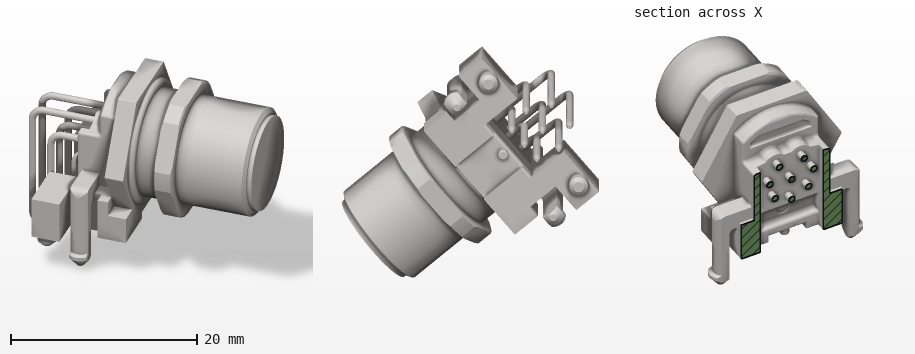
import cadquery as cq
import math


SELECT_MARGIN = 0.03

FLANGE_FLATS = 15.0
FLANGE_THICKNESS = 2.1
FLANGE_EDGE_FILLET = 0.13
DISC_RADIUS = 6.97
DISC_THICKNESS = 0.53
DISC_FILLET = 0.5
BARREL_DIAMETER = 12.0
BARREL_LENGTH = 12.9
BARREL_CHAMFER_DIAMETER = 10.92
BARREL_CHAMFER_LENGTH = 0.32
NOSE_DIAMETER = 10.5
NOSE_LENGTH = 0.53

NUT_FLATS = 14.0
NUT_CORNER_DIAMETER = 15.0
NUT_THICKNESS = 2.0
NUT_START = 3.05
NUT_BEVEL_LENGTH = 0.13
NUT_BEVEL_DEPTH = 0.27

FLANGE_REAR = -FLANGE_THICKNESS
CAP_REAR = -4.05
PIN_WALL = -5.55
SHOULDER_REAR = -6.62
HOUSING_HALF_WIDTH = 4.73
HOUSING_FILLET = 0.32
RECESS_HALF_WIDTH = 3.87
SHOULDER_SIDE_Z = 2.48
SHOULDER_SLOPE_HALF_WIDTH = 2.75
SHOULDER_SLOPE_Z = 2.78
HUMP_TOP = 3.37
HUMP_GAP_HALF_WIDTH = 0.48
HUMP_GAP_Z = 2.96
CREST_FILLET = 0.5
LABEL_HALF_WIDTH = 3.82
LABEL_TOP_HALF_WIDTH = 2.72
LABEL_BOTTOM = 4.09
LABEL_SIDE_Z = 4.85
LABEL_TOP = 5.5
LABEL_DEPTH = 0.35
LABEL_FILLET = 0.32

BASE_TOP = -3.77
BASE_BOTTOM = -8.52
BASE_REAR = -10.07
BASE_FRONT = -0.05
BLOCK_FRONT = -6.86
BLOCK_HALF_WIDTH = 9.75
NECK_HALF_WIDTH = 6.28
FOOT_REAR = -3.29
FOOT_HALF_WIDTH = 7.59
FOOT_STEP_Z = -5.48
ARCH_TOP = -7.65
ARCH_HALF_WIDTH = 2.4
CAVITY_TOP = -3.93
CAVITY_BOTTOM = -6.5
CAVITY_DEPTH = 1.07
CAVITY_FILLET = 0.25
RAIL_FILLET = 0.32
GATE_Z = -5.13
GATE_DIAMETER = 1.8
GATE_NUB_DIAMETER = 1.0
GATE_DEPTH = 0.21
STUD_DIAMETER = 1.07
STUD_X = -4.8
STUD_FILLET = 0.15

LEG_WIDTH = 2.0
LEG_HALF_WIDTH = LEG_WIDTH / 2
LEG_TOP_FILLET = LEG_HALF_WIDTH
LEG_X = -5.07
LEG_TOP = -2.2
LEG_OUTER_Y = 8.92
LEG_SIDE_Y = 8.47
LEG_INNER_Y = 7.5
LEG_SLOT_TOP = -4.27
BARB_RADIUS = 1.35
BARB_Y = 8.05
BARB_NECK_Z = -10.18
BARB_TOP = -10.36
BARB_SHOULDER = -10.8
BARB_TIP_RADIUS = 0.37
LEG_BOTTOM = -12.0
PEG_DIAMETER = 2.0
PEG_X = -9.08
PEG_Y = 7.5
PEG_BOTTOM = -10.5
PEG_CHAMFER = 0.43

PIN_RADIUS = 0.4
PIN_TIP_RADIUS = 0.2
PIN_TIP_WAIST_RADIUS = 0.335
PIN_TIP_LENGTH = 1.01
PIN_BEND_RADIUS = 1.4
PIN_PITCH = 2.55
PIN_COLUMN_REAR = -12.87
PIN_END = -11.62
CENTER_PIN_END = -12.0
TOP_PIN_Y = 1.52
TOP_PIN_Z = 2.3
MIDDLE_PIN_Y = 2.72
MIDDLE_PIN_Z = 0.37
LOW_PIN_Y = 2.08
LOW_PIN_Z = -1.82
BOTTOM_PIN_Z = -2.75
PINS = [
    (0, -TOP_PIN_Y, TOP_PIN_Z, PIN_END),
    (0, TOP_PIN_Y, TOP_PIN_Z, PIN_END),
    (1, -MIDDLE_PIN_Y, MIDDLE_PIN_Z, PIN_END),
    (1, MIDDLE_PIN_Y, MIDDLE_PIN_Z, PIN_END),
    (1, 0, 0, CENTER_PIN_END),
    (2, -LOW_PIN_Y, LOW_PIN_Z, PIN_END),
    (2, LOW_PIN_Y, LOW_PIN_Z, PIN_END),
    (2, 0, BOTTOM_PIN_Z, PIN_END),
]


def box(x0, x1, y0, y1, z0, z1):
    """Box between two opposite corners."""
    return cq.Workplane("XY").box(x1 - x0, y1 - y0, z1 - z0, centered=False).translate((x0, y0, z0))


def disc(x0, length, diameter):
    """Cylinder along the X axis."""
    return cq.Workplane("YZ", origin=(x0, 0, 0)).circle(diameter / 2).extrude(length)


def hexagon(x0, length, flats):
    """Hexagonal prism along X, with corners on the Y axis."""
    return cq.Workplane("YZ", origin=(x0, 0, 0)).polygon(6, flats / math.cos(math.pi / 6)).extrude(length)


def make_barrel():
    """Hexagonal flange, sealing disc, barrel and nose."""
    flange = hexagon(FLANGE_REAR, FLANGE_THICKNESS, FLANGE_FLATS).edges("|X").fillet(FLANGE_EDGE_FILLET)
    sealing_disc = disc(0, DISC_THICKNESS, 2 * DISC_RADIUS).faces(">X").edges().fillet(DISC_FILLET)
    chamfer_depth = (BARREL_DIAMETER - BARREL_CHAMFER_DIAMETER) / 2
    barrel = disc(0, BARREL_LENGTH, BARREL_DIAMETER)
    barrel = barrel.faces(">X").chamfer(BARREL_CHAMFER_LENGTH, chamfer_depth)
    nose = disc(BARREL_LENGTH, NOSE_LENGTH, NOSE_DIAMETER)
    return flange.union(sealing_disc).union(barrel).union(nose)


def make_nut():
    """Hexagonal nut with turned, beveled corners, on the barrel."""
    corner_radius = NUT_CORNER_DIAMETER / 2
    envelope = (
        cq.Workplane("YZ", origin=(NUT_START, 0, 0))
        .circle(corner_radius)
        .extrude(NUT_THICKNESS)
        .faces("<X or >X")
        .chamfer(NUT_BEVEL_LENGTH, NUT_BEVEL_DEPTH)
    )
    bore = disc(NUT_START, NUT_THICKNESS, BARREL_DIAMETER)
    return hexagon(NUT_START, NUT_THICKNESS, NUT_FLATS).intersect(envelope).cut(bore)


def edges_in(x0, x1, y0, y1, z0, z1):
    """Selector for the edges whose centers lie in a box, with a small margin around it."""
    low = (x0 - SELECT_MARGIN, y0 - SELECT_MARGIN, z0 - SELECT_MARGIN)
    high = (x1 + SELECT_MARGIN, y1 + SELECT_MARGIN, z1 + SELECT_MARGIN)
    return cq.selectors.BoxSelector(low, high)


def make_housing():
    """Rear housing: round-topped cap, then a stepped shoulder over the pin wall."""
    cap_side_z = math.sqrt(DISC_RADIUS**2 - HOUSING_HALF_WIDTH**2)
    cap = (
        cq.Workplane("YZ", origin=(CAP_REAR, 0, 0))
        .moveTo(-HOUSING_HALF_WIDTH, BASE_TOP)
        .lineTo(HOUSING_HALF_WIDTH, BASE_TOP)
        .lineTo(HOUSING_HALF_WIDTH, cap_side_z)
        .threePointArc((0, DISC_RADIUS), (-HOUSING_HALF_WIDTH, cap_side_z))
        .close()
        .extrude(FLANGE_REAR - CAP_REAR)
    )
    shoulder = (
        cq.Workplane("YZ", origin=(SHOULDER_REAR, 0, 0))
        .moveTo(-HOUSING_HALF_WIDTH, BASE_TOP)
        .lineTo(HOUSING_HALF_WIDTH, BASE_TOP)
        .lineTo(HOUSING_HALF_WIDTH, SHOULDER_SIDE_Z)
        .lineTo(SHOULDER_SLOPE_HALF_WIDTH, SHOULDER_SLOPE_Z)
        .threePointArc((TOP_PIN_Y, HUMP_TOP), (HUMP_GAP_HALF_WIDTH, HUMP_GAP_Z))
        .lineTo(-HUMP_GAP_HALF_WIDTH, HUMP_GAP_Z)
        .threePointArc((-TOP_PIN_Y, HUMP_TOP), (-SHOULDER_SLOPE_HALF_WIDTH, SHOULDER_SLOPE_Z))
        .lineTo(-HOUSING_HALF_WIDTH, SHOULDER_SIDE_Z)
        .close()
        .extrude(FLANGE_REAR - SHOULDER_REAR)
    )
    housing = cap.union(shoulder)
    width = HOUSING_HALF_WIDTH
    seam = edges_in(CAP_REAR, CAP_REAR, -width, width, SHOULDER_SIDE_Z, HUMP_TOP)
    cap_rim = edges_in(CAP_REAR, CAP_REAR, -width, width, cap_side_z, DISC_RADIUS)
    shoulder_rim = edges_in(SHOULDER_REAR, SHOULDER_REAR, -width, width, SHOULDER_SIDE_Z, HUMP_TOP)
    sides = [
        edges_in(SHOULDER_REAR, FLANGE_REAR - 0.27, y, y, BASE_TOP + 0.27, DISC_RADIUS) for y in (-width, width)
    ]
    outline = cap_rim + shoulder_rim + sides[0] + sides[1]
    return housing.edges(seam).fillet(HOUSING_FILLET).edges(outline).fillet(HOUSING_FILLET)


def make_crest_rounding():
    """Cutter for the larger, straight rounding across the top of the cap."""
    center_x = CAP_REAR + CREST_FILLET
    center_z = DISC_RADIUS - CREST_FILLET
    width = HOUSING_HALF_WIDTH
    corner = box(CAP_REAR, center_x, -width, width, center_z, DISC_RADIUS)
    round_bar = (
        cq.Workplane("XZ", origin=(center_x, width, center_z)).circle(CREST_FILLET).extrude(2 * width)
    )
    return corner.cut(round_bar)


def make_label_recess():
    """Cutter for the shallow recess in the rear face of the cap."""
    return (
        cq.Workplane("YZ", origin=(CAP_REAR, 0, 0))
        .polyline([
            (-LABEL_HALF_WIDTH, LABEL_BOTTOM),
            (LABEL_HALF_WIDTH, LABEL_BOTTOM),
            (LABEL_HALF_WIDTH, LABEL_SIDE_Z),
            (LABEL_TOP_HALF_WIDTH, LABEL_TOP),
            (-LABEL_TOP_HALF_WIDTH, LABEL_TOP),
            (-LABEL_HALF_WIDTH, LABEL_SIDE_Z),
        ])
        .close()
        .extrude(LABEL_DEPTH)
        .faces(">X").edges().fillet(LABEL_FILLET)
    )


def make_base():
    """Base with two rear blocks, a neck and a front foot under the flange."""
    base = box(BASE_REAR, BLOCK_FRONT, -BLOCK_HALF_WIDTH, BLOCK_HALF_WIDTH, BASE_BOTTOM, BASE_TOP)
    neck = box(BLOCK_FRONT, FOOT_REAR, -NECK_HALF_WIDTH, NECK_HALF_WIDTH, BASE_BOTTOM, BASE_TOP)
    foot = box(FOOT_REAR, BASE_FRONT, -FOOT_HALF_WIDTH, FOOT_HALF_WIDTH, BASE_BOTTOM, BASE_TOP)
    step = box(FLANGE_REAR, BASE_FRONT, -FOOT_HALF_WIDTH, FOOT_HALF_WIDTH, FOOT_STEP_Z, BASE_TOP)
    return base.union(neck).union(foot).cut(step)


def make_pin_bay():
    """Cutter for the open bay behind the pin wall and the cavity under that wall."""
    bay = box(BASE_REAR, PIN_WALL, -RECESS_HALF_WIDTH, RECESS_HALF_WIDTH, BASE_BOTTOM, HUMP_TOP + 0.27)
    cavity = box(PIN_WALL, PIN_WALL + CAVITY_DEPTH, -RECESS_HALF_WIDTH, RECESS_HALF_WIDTH,
                 CAVITY_BOTTOM, CAVITY_TOP)
    cavity = cavity.faces(">X").edges("|Y").fillet(CAVITY_FILLET)
    return bay.union(cavity)


def round_rail(part):
    """Round the edges of the rail that crosses the bay below the cavity."""
    half = RECESS_HALF_WIDTH
    crosswise = cq.selectors.ParallelDirSelector(cq.Vector(0, 1, 0))
    rail_edges = edges_in(PIN_WALL, PIN_WALL, -half, half, BASE_BOTTOM, CAVITY_BOTTOM) & crosswise
    return part.edges(rail_edges).fillet(RAIL_FILLET)


def make_gate():
    """Cutter for the ring-shaped gate mark on the cavity wall."""
    wall = PIN_WALL + CAVITY_DEPTH
    return (
        cq.Workplane("YZ", origin=(wall, 0, GATE_Z))
        .circle(GATE_DIAMETER / 2)
        .circle(GATE_NUB_DIAMETER / 2)
        .extrude(GATE_DEPTH)
    )


def make_stud():
    """Short round stud under the middle of the rail."""
    stud = cq.Workplane("XY", origin=(STUD_X, 0, BASE_BOTTOM)).circle(STUD_DIAMETER / 2)
    return stud.extrude(ARCH_TOP - BASE_BOTTOM + 0.27).faces("<Z").edges().fillet(STUD_FILLET)


def make_leg():
    """Snap leg on the -Y side: a flat-backed post hanging from an arm, with a barbed foot."""
    post = (
        cq.Workplane("XY", origin=(LEG_X, 0, BARB_SHOULDER))
        .moveTo(-LEG_HALF_WIDTH, -HOUSING_HALF_WIDTH)
        .lineTo(-LEG_HALF_WIDTH, -LEG_SIDE_Y)
        .threePointArc((0, -LEG_OUTER_Y), (LEG_HALF_WIDTH, -LEG_SIDE_Y))
        .lineTo(LEG_HALF_WIDTH, -HOUSING_HALF_WIDTH)
        .close()
        .extrude(LEG_TOP - BARB_SHOULDER)
    )
    rounded_top = (
        box(LEG_X - LEG_HALF_WIDTH, LEG_X + LEG_HALF_WIDTH, -LEG_OUTER_Y, -HOUSING_HALF_WIDTH,
            BARB_SHOULDER, LEG_TOP)
        .edges("<Y and >Z").fillet(LEG_TOP_FILLET)
    )
    slot_radius = (LEG_INNER_Y - NECK_HALF_WIDTH) / 2
    slot_center_y = -(LEG_INNER_Y + NECK_HALF_WIDTH) / 2
    slot_center_z = LEG_SLOT_TOP - slot_radius
    left, right = LEG_X - LEG_HALF_WIDTH, LEG_X + LEG_HALF_WIDTH
    slot_end = (
        cq.Workplane("YZ", origin=(left, 0, 0))
        .center(slot_center_y, slot_center_z)
        .circle(slot_radius)
        .extrude(LEG_WIDTH)
    )
    slot = box(left, right, -LEG_INNER_Y, -NECK_HALF_WIDTH, BARB_SHOULDER, slot_center_z)
    below_neck = box(left, right, -NECK_HALF_WIDTH, -HOUSING_HALF_WIDTH, BARB_SHOULDER, BASE_BOTTOM)
    foot = (
        cq.Workplane("XZ", origin=(LEG_X, -BARB_Y, 0))
        .polyline([
            (0, BARB_NECK_Z),
            (LEG_HALF_WIDTH, BARB_NECK_Z),
            (BARB_RADIUS, BARB_TOP),
            (BARB_RADIUS, BARB_SHOULDER),
            (BARB_TIP_RADIUS, LEG_BOTTOM),
            (0, LEG_BOTTOM),
        ])
        .close()
        .revolve(360, (0, 0, 0), (0, 1, 0))
    )
    foot_limit = box(left, right, -BARB_Y - BARB_RADIUS, -LEG_INNER_Y, LEG_BOTTOM, BARB_NECK_Z)
    leg = post.intersect(rounded_top).cut(slot_end).cut(slot).cut(below_neck)
    return leg.union(foot.intersect(foot_limit))


def make_peg():
    """Locating peg under the rear block on the -Y side."""
    peg = cq.Workplane("XY", origin=(PEG_X, -PEG_Y, PEG_BOTTOM)).circle(PEG_DIAMETER / 2)
    return peg.extrude(BASE_BOTTOM - PEG_BOTTOM).faces("<Z").chamfer(PEG_CHAMFER)


def make_pin(column, y, z, end):
    """Pin leaving the pin wall toward -X, bent down and ending in a rounded taper."""
    x = PIN_COLUMN_REAR + column * PIN_PITCH
    bend_end_x = x + PIN_BEND_RADIUS
    bend_end_z = z - PIN_BEND_RADIUS
    tip_start = end + PIN_TIP_LENGTH
    turn = PIN_BEND_RADIUS * math.sqrt(0.5)
    path = (
        cq.Workplane("XZ", origin=(0, y, 0))
        .moveTo(x, tip_start)
        .lineTo(x, bend_end_z)
        .threePointArc((bend_end_x - turn, bend_end_z + turn), (bend_end_x, z))
        .lineTo(PIN_WALL, z)
    )
    rod = cq.Workplane("XY", origin=(x, y, tip_start)).circle(PIN_RADIUS).sweep(path)
    tip = (
        cq.Workplane("XZ", origin=(x, y, 0))
        .moveTo(0, tip_start)
        .lineTo(PIN_RADIUS, tip_start)
        .threePointArc((PIN_TIP_WAIST_RADIUS, tip_start - PIN_TIP_LENGTH / 2), (PIN_TIP_RADIUS, end))
        .lineTo(0, end)
        .close()
        .revolve(360, (0, 0, 0), (0, 1, 0))
    )
    return rod.union(tip)


def make_connector():
    """The whole connector except the nut, as one solid."""
    arch = box(BASE_REAR, BASE_FRONT, -ARCH_HALF_WIDTH, ARCH_HALF_WIDTH, BASE_BOTTOM, ARCH_TOP)
    rear = make_housing().cut(make_crest_rounding()).cut(make_label_recess()).union(make_base().cut(arch))
    rear = round_rail(rear.cut(make_pin_bay())).cut(make_gate())
    connector = make_barrel().union(rear).union(make_stud())
    for part in (make_leg(), make_peg()):
        connector = connector.union(part).union(part.mirror("XZ"))
    for pin in PINS:
        connector = connector.union(make_pin(*pin))
    return connector


nut = make_nut()
connector = make_connector()

result = cq.Compound.makeCompound([connector.val(), nut.val()])